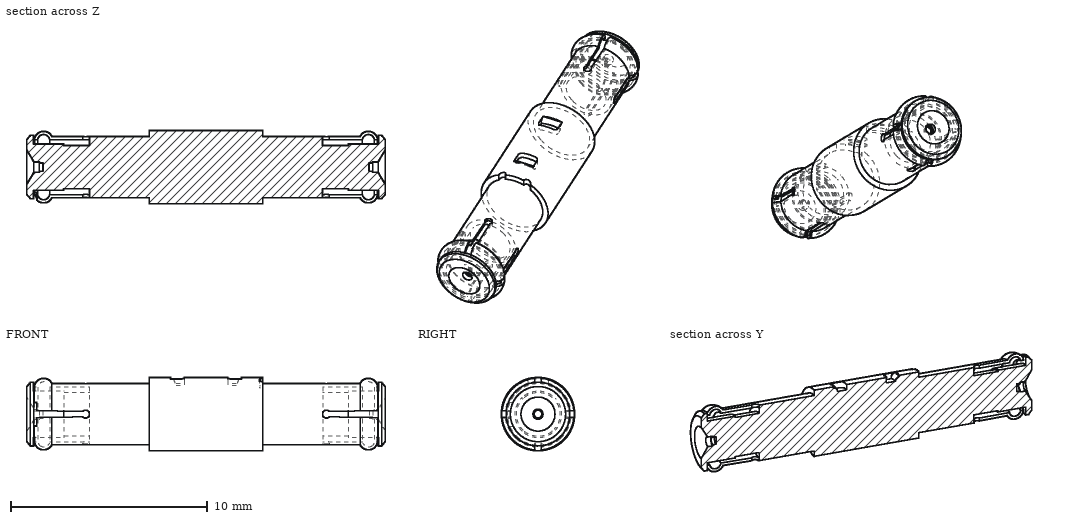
import cadquery as cq
import math

total_length = 18.28
half_length = total_length / 2
tube_radius = 1.57

sleeve_length = 5.8
sleeve_diameter = 3.75
sleeve_radius = sleeve_diameter / 2

face_radius = 1.4
rim_radius = 1.63
rim_chamfer_length = 0.18
rim_length = 0.35

bead_offset = 0.86
bead_diameter = 3.67
bead_radius = bead_diameter / 2
bead_arc_radius = 0.48
bead_x = -half_length + bead_offset
bead_arc_center_radius = bead_radius - bead_arc_radius

core_radius = 1.19
rear_core_radius = 1.12
core_step_offset = 1.88

finger_wall = 0.16
finger_inner_radius = tube_radius - finger_wall

slot_count = 4
slot_front_width = 0.37
slot_rear_width = 0.27
slot_end_offset = 3.0
slot_end = -half_length + slot_end_offset
slot_hole_diameter = 0.4

bead_notch_width = 1.22
bead_notch_length = 0.16
bead_notch_floor = 1.28

cone_diameter = 1.74
cone_depth = 0.37
bore_radius = 0.25
bore_step_depth = 0.64
pin_hole_radius = 0.2
pin_hole_depth = 0.82

window_inner_offset = 1.12
window_length = 0.7
window_width = 1.06
window_corner_radius = 0.18
window_step_radius = 0.22

notch_radius = 0.18
notch_offset = 0.7


def revolve_about_x(profile):
    """Turn a closed XY outline (Y = radius) into a solid of revolution about X."""
    return profile.close().revolve(360, (0, 0, 0), (1, 0, 0))


def bead_arc_reach(arc_radius, height):
    """Half-width along X of a bead arc at the given distance from the X axis."""
    return math.sqrt(arc_radius**2 - (height - bead_arc_center_radius) ** 2)


def finger_ring():
    """Slotted ring at the -X end, from the bead back to the middle of the part."""
    cavity_end = slot_end + slot_hole_diameter / 2
    inner_arc_radius = bead_arc_radius - finger_wall
    bead_front_x = bead_x - bead_arc_reach(bead_arc_radius, finger_inner_radius)
    bead_front_inner_x = bead_x - bead_arc_reach(inner_arc_radius, finger_inner_radius)
    bead_rear_x = bead_x + bead_arc_reach(bead_arc_radius, tube_radius)
    bead_rear_inner_x = bead_x + bead_arc_reach(inner_arc_radius, finger_inner_radius)
    ring = revolve_about_x(
        cq.Workplane("XY")
        .moveTo(bead_front_x, finger_inner_radius)
        .threePointArc((bead_x, bead_radius), (bead_rear_x, tube_radius))
        .lineTo(0, tube_radius)
        .lineTo(0, rear_core_radius)
        .lineTo(cavity_end, rear_core_radius)
        .lineTo(cavity_end, finger_inner_radius)
        .lineTo(bead_rear_inner_x, finger_inner_radius)
        .threePointArc(
            (bead_x, bead_radius - finger_wall),
            (bead_front_inner_x, finger_inner_radius),
        )
    )
    for index in range(slot_count):
        ring = ring.cut(slot_cutter().rotate((0, 0, 0), (1, 0, 0), index * 360 / slot_count))
    return ring


def slot_cutter():
    """Tapered slot with a round relief hole at its closed end, on the +Z side."""
    slot = (
        cq.Workplane("XY")
        .moveTo(-half_length, -slot_front_width / 2)
        .lineTo(slot_end, -slot_rear_width / 2)
        .lineTo(slot_end, slot_rear_width / 2)
        .lineTo(-half_length, slot_front_width / 2)
        .close()
        .extrude(sleeve_radius)
    )
    hole = cq.Workplane("XY").center(slot_end, 0).circle(slot_hole_diameter / 2).extrude(sleeve_radius)
    return slot.union(hole)


def core():
    """Inner body of the -X end with its chamfered rim and funnel-shaped opening."""
    end = -half_length
    return revolve_about_x(
        cq.Workplane("XY")
        .moveTo(end + pin_hole_depth, 0)
        .lineTo(end + pin_hole_depth, pin_hole_radius)
        .lineTo(end + bore_step_depth, pin_hole_radius)
        .lineTo(end + bore_step_depth, bore_radius)
        .lineTo(end + cone_depth, bore_radius)
        .lineTo(end, cone_diameter / 2)
        .lineTo(end, face_radius)
        .lineTo(end + rim_chamfer_length, rim_radius)
        .lineTo(end + rim_length, rim_radius)
        .lineTo(end + rim_length, core_radius)
        .lineTo(end + core_step_offset, core_radius)
        .lineTo(end + core_step_offset, rear_core_radius)
        .lineTo(0, rear_core_radius)
        .lineTo(0, 0)
    )


def bead_notch():
    """Cutter for the flat notch through the bead wall, just behind the -X rim."""
    depth = bead_radius - bead_notch_floor
    center = (-half_length + rim_length + bead_notch_length / 2, -bead_notch_floor - depth / 2, 0)
    return cq.Workplane("XY").box(bead_notch_length, depth, bead_notch_width).translate(center)


def window():
    """Cutter for the -X window: rounded inner corners and a quarter-round step at the outer edge.

    It reaches down to the axis; the tube, added afterwards, forms the floor of the window.
    """
    inner_x = -window_inner_offset
    outer_x = inner_x - window_length
    opening = (
        cq.Workplane("XY")
        .center((inner_x + outer_x) / 2, 0)
        .rect(window_length, window_width)
        .extrude(sleeve_radius)
        .edges("|Z and >X")
        .fillet(window_corner_radius)
    )
    step = (
        cq.Workplane("XZ")
        .center(outer_x, tube_radius)
        .circle(window_step_radius)
        .extrude(window_width / 2, both=True)
    )
    return opening.cut(step)


def sleeve():
    """Central sleeve with two top windows and two notches in its +X edge."""
    body = cq.Workplane("YZ").circle(sleeve_radius).extrude(sleeve_length / 2, both=True)
    body = body.cut(window()).cut(window().mirror("YZ"))
    notches = (
        cq.Workplane("XY")
        .pushPoints([(sleeve_length / 2, side * notch_offset) for side in (-1, 1)])
        .circle(notch_radius)
        .extrude(sleeve_radius)
    )
    tube = cq.Workplane("YZ").circle(tube_radius).extrude(sleeve_length / 2 + notch_radius, both=True)
    return body.cut(notches).union(tube)


left_end = finger_ring().union(core())
right_end = left_end.mirror("YZ")
result = left_end.cut(bead_notch()).union(right_end).union(sleeve())